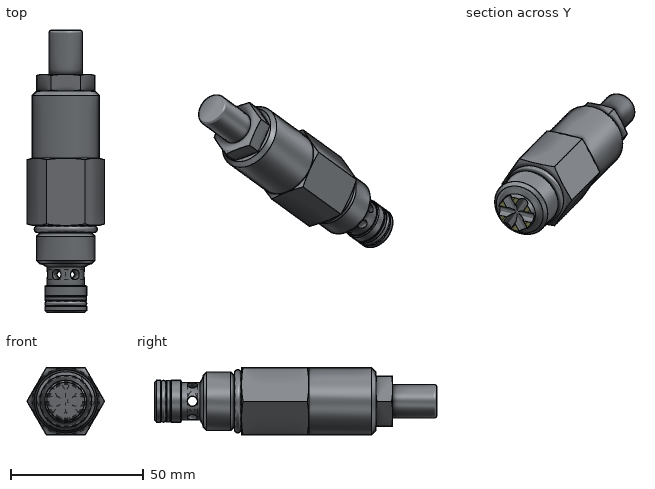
import cadquery as cq
import math

overall_length = 106.54

nose_diameter = 15.88
nose_chamfer = 0.8
shoulder_chamfer = 0.4
nose_length = 10.15
groove_diameter = 13.31
groove_start = 2.25
groove_end = 6.3
nose_ring_section = 1.78
nose_ring_station = 3.32
backup_ring_diameter = 15.8
backup_ring_start = 4.25
backup_ring_width = 1.9
backup_ring_chamfer = 0.35

neck_diameter = 14.28
neck_end = 17.18
neck_flare_length = 0.9
port_diameter = 3.75
port_count = 6
port_station = 14.27

pilot_diameter = 22.23
pilot_root_diameter = 19.63
pilot_step_diameter = 17.37
pilot_step_height = 0.3
pilot_chamfer = (pilot_diameter - pilot_root_diameter) / 2
pilot_end = 30.0

hex_across_flats = 25.4
hex_length = 25.4
hex_start = 32.8
hex_end = hex_start + hex_length
hex_face_diameter = 25.1
hex_chamfer_angle = 15

sleeve_diameter = 25.4
sleeve_end = 83.5
sleeve_chamfer = 1.6
nut_across_flats = 19.05
nut_height = 6.35
nut_face_diameter = 18.9
nut_chamfer_angle = 15
nut_end = sleeve_end + nut_height
stem_diameter = 12.7
stem_rounding = 1.1

seat_ring_section = 2.6
seat_ring_diameter = 23.85
seat_ring_station = (pilot_end + hex_start) / 2


def revolve_about_y(points):
    """Revolve a (radius, station) outline a full turn about the Y axis."""
    outline = cq.Workplane("XY").polyline(points).close()
    return outline.revolve(360, (0, 0, 0), (0, 1, 0))


def cylinder(diameter, start, end, start_chamfer=0.0, end_chamfer=0.0):
    """Round bar along Y with optional 45 degree chamfers on its end edges."""
    bar = cq.Workplane("XZ").workplane(offset=-start).circle(diameter / 2).extrude(start - end)
    if start_chamfer:
        bar = bar.faces("<Y").chamfer(start_chamfer)
    if end_chamfer:
        bar = bar.faces(">Y").chamfer(end_chamfer)
    return bar


def o_ring(outer_diameter, section, station):
    """Torus about Y whose largest diameter is outer_diameter, with its seam on the inner side."""
    ring_radius = (outer_diameter - section) / 2
    section_plane = cq.Plane(origin=(ring_radius, station, 0), xDir=(-1, 0, 0), normal=(0, 0, 1))
    ring = cq.Workplane(section_plane).circle(section / 2)
    return ring.revolve(360, (ring_radius, 0, 0), (ring_radius, 1, 0))


def hexagon(across_flats, start, end, face_diameter, chamfer_angle):
    """Hexagonal bar along Y, flats facing +Z and -Z, with cone-chamfered corners at both ends."""
    corner_radius = across_flats / 2 / math.cos(math.radians(30))
    face_radius = face_diameter / 2
    chamfer_height = (corner_radius - face_radius) * math.tan(math.radians(chamfer_angle))
    bar = cq.Workplane("XZ").workplane(offset=-start).polygon(6, 2 * corner_radius).extrude(start - end)
    envelope = revolve_about_y([
        (0, start),
        (face_radius, start),
        (corner_radius, start + chamfer_height),
        (corner_radius, end - chamfer_height),
        (face_radius, end),
        (0, end),
    ])
    return bar.intersect(envelope)


def nose():
    """Nose land with an O-ring and a chamfered backup ring seated in its groove."""
    land = cylinder(nose_diameter, 0, nose_length, nose_chamfer, shoulder_chamfer)
    groove = cylinder(nose_diameter, groove_start, groove_end).cut(
        cylinder(groove_diameter, groove_start, groove_end)
    )
    backup_ring_end = backup_ring_start + backup_ring_width
    backup_ring = cylinder(
        backup_ring_diameter, backup_ring_start, backup_ring_end, backup_ring_chamfer, backup_ring_chamfer
    )
    seal = o_ring(nose_diameter, nose_ring_section, nose_ring_station)
    return land.cut(groove).union(backup_ring).union(seal)


def neck_and_pilot():
    """Solid of revolution from the neck up to the main hexagon."""
    neck_radius = neck_diameter / 2
    pilot_radius = pilot_diameter / 2
    root_radius = pilot_root_diameter / 2
    step_start = neck_end + neck_flare_length
    pilot_start = step_start + pilot_step_height
    return revolve_about_y([
        (0, nose_length),
        (neck_radius, nose_length),
        (neck_radius, neck_end),
        (pilot_step_diameter / 2, step_start),
        (root_radius, pilot_start),
        (pilot_radius, pilot_start + pilot_chamfer),
        (pilot_radius, pilot_end - pilot_chamfer),
        (root_radius, pilot_end),
        (root_radius, hex_start),
        (0, hex_start),
    ])


def port_drills():
    """Cross drills through the neck; each one makes two opposite ports."""
    drills = cq.Workplane("XY")
    for index in range(port_count // 2):
        drill = (
            cq.Workplane("YZ")
            .center(port_station, 0)
            .circle(port_diameter / 2)
            .extrude(neck_diameter, both=True)
            .rotate((0, 0, 0), (0, 1, 0), index * 360 / port_count)
        )
        drills = drills.add(drill)
    return drills.combine()


def stem():
    """Adjuster stem with a rounded tip."""
    return cylinder(stem_diameter, nut_end, overall_length).faces(">Y").edges().fillet(stem_rounding)


result = (
    nose()
    .union(neck_and_pilot().cut(port_drills()))
    .union(o_ring(seat_ring_diameter, seat_ring_section, seat_ring_station))
    .union(hexagon(hex_across_flats, hex_start, hex_end, hex_face_diameter, hex_chamfer_angle))
    .union(cylinder(sleeve_diameter, hex_end, sleeve_end, end_chamfer=sleeve_chamfer))
    .union(hexagon(nut_across_flats, sleeve_end, nut_end, nut_face_diameter, nut_chamfer_angle))
    .union(stem())
)